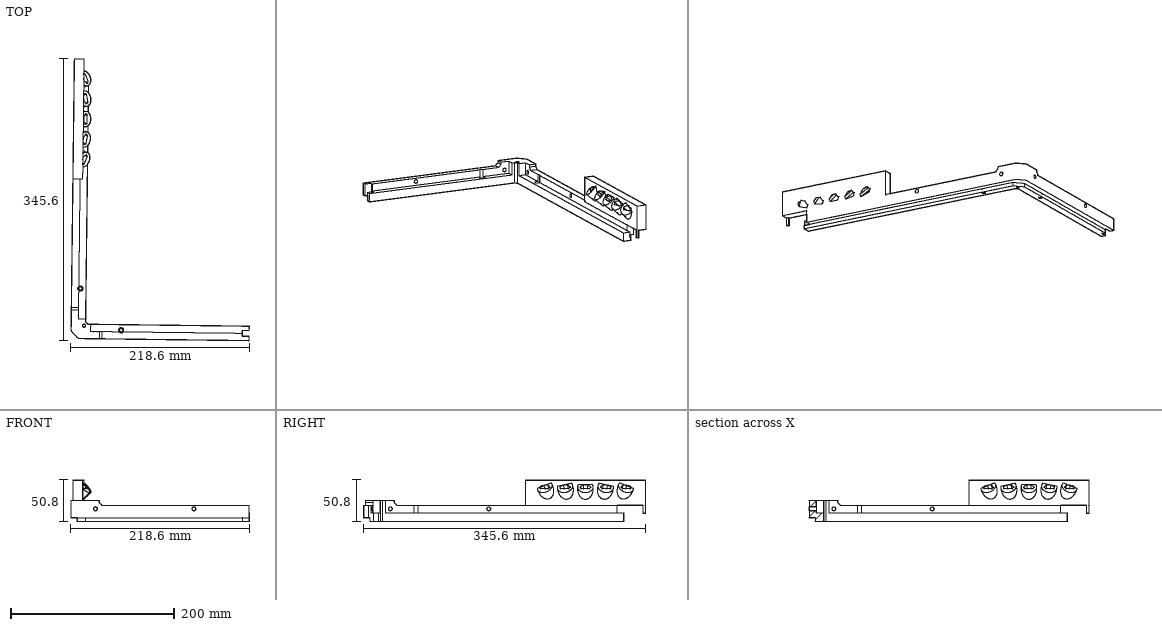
import cadquery as cq
import math

FRAME_TURN = -0.7
X_ARM_LENGTH = 218.5
Y_ARM_LENGTH = 316.5
FRAME_LENGTH = 343.0
TOTAL_HEIGHT = 50.8

ARM_WIDTH = 18.0
WALL_THICKNESS = ARM_WIDTH / 2
ARM_TOP = 19.7
LEDGE_TOP = 10.7
FOOT_HEIGHT = 4.5
FOOT_SETBACK = 7.5
FOOT_CHAMFER = 10.5
INNER_CHAMFER = 2.8

CORNER_TOP = 26.0
CORNER_LENGTH = 35.0
CORNER_CHAMFER = 9.5
CORNER_BLEND = 4.0
STEP_BEVEL = 3.5
LEDGE_START = 24.2

NOTCH_DEPTH = 8.3
NOTCH_WIDTH = 6.5

CROSS_HOLE_DIAMETER = 4.5
CROSS_HOLE_HEIGHT = 15.5
CROSS_HOLE_PLACES = (30.0, 150.7)
CORNER_HOLE_DIAMETER = 3.4
CORNER_HOLE_PLACE = 16.0
SCREW_HOLE_DIAMETER = 4.0
SCREW_HEAD_DIAMETER = 6.2
SCREW_ALONG = 61.5
SCREW_ACROSS = 11.0

PLATE_THICKNESS = 12.0
PLATE_LENGTH = 147.3
PLATE_START = FRAME_LENGTH - PLATE_LENGTH
TAB_LENGTH = 3.0
TAB_THICKNESS = 2.5
TAB_BOTTOM = 10.0

BOSS_COUNT = 5
BOSS_SPACING = 22.0
BOSS_DIAMETER = 19.0
BOSS_LENGTH = 20.0
BOSS_AXIS_HEIGHT = 29.0
BOSS_ELEVATION = 42.0
BOSS_FAN_STEP = 11.0
SOCKET_WIDTH = 13.0
SOCKET_ROOF_WIDTH = 5.2
SOCKET_ROOF_HEIGHT = 3.5
SOCKET_FLOOR_WIDTH = 10.5
SOCKET_FLOOR_DEPTH = 2.8


def block(x_range, y_range, z_range):
    (x0, x1), (y0, y1), (z0, z1) = x_range, y_range, z_range
    return cq.Workplane("XY").box(x1 - x0, y1 - y0, z1 - z0, centered=False).translate((x0, y0, z0))


def mirrored(shape):
    """Swap X and Y, carrying a feature of the X arm to the Y arm."""
    return shape.mirror("XZ").rotate((0, 0, 0), (0, 0, 1), 90)


def on_both_arms(shape):
    return shape.union(mirrored(shape))


def angle_outline(setback, x_end, y_end):
    return (
        cq.Workplane("XY")
        .moveTo(setback, setback)
        .lineTo(x_end, setback)
        .lineTo(x_end, ARM_WIDTH)
        .lineTo(ARM_WIDTH, ARM_WIDTH)
        .lineTo(ARM_WIDTH, y_end)
        .lineTo(setback, y_end)
        .close()
    )


def inner_corner_fill():
    near = ARM_WIDTH
    far = ARM_WIDTH + INNER_CHAMFER
    return cq.Workplane("XY").polyline([(near, near), (far, near), (near, far)]).close().extrude(CORNER_TOP)


def foot():
    body = angle_outline(FOOT_SETBACK, X_ARM_LENGTH, Y_ARM_LENGTH).extrude(FOOT_HEIGHT)
    return body.edges("|Z and <(1, 1, 0)").chamfer(FOOT_CHAMFER)


def upper_frame():
    body = (
        angle_outline(0, X_ARM_LENGTH, Y_ARM_LENGTH)
        .extrude(CORNER_TOP - FOOT_HEIGHT)
        .translate((0, 0, FOOT_HEIGHT))
        .edges("|Z and <(1, 1, 0)")
        .chamfer(CORNER_CHAMFER)
    )
    body = body.edges("|Z").edges("<(1, 1, 0)").fillet(CORNER_BLEND)

    end = FRAME_LENGTH
    wall_cut = (
        cq.Workplane("XZ")
        .moveTo(CORNER_LENGTH, CORNER_TOP)
        .lineTo(CORNER_LENGTH, ARM_TOP + STEP_BEVEL)
        .lineTo(CORNER_LENGTH + STEP_BEVEL, ARM_TOP)
        .lineTo(end, ARM_TOP)
        .lineTo(end, CORNER_TOP)
        .close()
        .extrude(-ARM_WIDTH)
    )
    ledge_cut = block((LEDGE_START, end), (WALL_THICKNESS, ARM_WIDTH), (LEDGE_TOP, CORNER_TOP))
    return body.cut(on_both_arms(wall_cut)).cut(on_both_arms(ledge_cut))


def end_cuts():
    x_notch = block(
        (X_ARM_LENGTH - NOTCH_DEPTH, X_ARM_LENGTH),
        (WALL_THICKNESS - NOTCH_WIDTH / 2, WALL_THICKNESS + NOTCH_WIDTH / 2),
        (0, ARM_TOP),
    )
    y_wall_end = block((0, WALL_THICKNESS), (Y_ARM_LENGTH - NOTCH_DEPTH, Y_ARM_LENGTH), (FOOT_HEIGHT, ARM_TOP))
    return x_notch.union(y_wall_end)


def plate():
    body = block((0, PLATE_THICKNESS), (PLATE_START, FRAME_LENGTH), (ARM_TOP, TOTAL_HEIGHT))
    tab = block(
        (PLATE_THICKNESS - TAB_THICKNESS, PLATE_THICKNESS),
        (FRAME_LENGTH - TAB_LENGTH, FRAME_LENGTH),
        (TAB_BOTTOM, ARM_TOP),
    )
    return body.union(tab)


def boss_plane(index):
    """Plane on the plate's outer face, normal along the axis of one boss."""
    step = index - (BOSS_COUNT - 1) / 2
    y = PLATE_START + PLATE_LENGTH / 2 + step * BOSS_SPACING
    fan = math.radians(step * BOSS_FAN_STEP)
    rise = math.radians(BOSS_ELEVATION)
    axis = (math.cos(fan) * math.cos(rise), math.sin(fan) * math.cos(rise), math.sin(rise))
    sideways = (-math.sin(fan), math.cos(fan), 0)
    return cq.Plane(origin=(0, y, BOSS_AXIS_HEIGHT), xDir=sideways, normal=axis)


def boss(index):
    rod = cq.Workplane(boss_plane(index)).circle(BOSS_DIAMETER / 2).extrude(BOSS_LENGTH)
    clear_side = block(
        (PLATE_THICKNESS / 2, FRAME_LENGTH), (PLATE_START, FRAME_LENGTH), (ARM_TOP, TOTAL_HEIGHT)
    )
    return rod.intersect(clear_side)


def socket(index):
    right_side = [
        (SOCKET_FLOOR_WIDTH / 2, -SOCKET_FLOOR_DEPTH),
        (SOCKET_WIDTH / 2, 0),
        (SOCKET_ROOF_WIDTH / 2, SOCKET_ROOF_HEIGHT),
    ]
    left_side = [(-x, y) for x, y in reversed(right_side)]
    outline = cq.Workplane(boss_plane(index)).polyline(right_side + left_side).close()
    return outline.extrude(BOSS_LENGTH, both=True)


def hole(x, y, diameter, z0, z1):
    return cq.Workplane("XY").center(x, y).circle(diameter / 2).extrude(z1 - z0).translate((0, 0, z0))


def holes():
    cross = (
        cq.Workplane("XZ")
        .pushPoints([(place, CROSS_HOLE_HEIGHT) for place in CROSS_HOLE_PLACES])
        .circle(CROSS_HOLE_DIAMETER / 2)
        .extrude(-ARM_WIDTH - INNER_CHAMFER)
    )
    screw = hole(SCREW_ALONG, SCREW_ACROSS, SCREW_HOLE_DIAMETER, 0, ARM_TOP)
    screw = screw.union(hole(SCREW_ALONG, SCREW_ACROSS, SCREW_HEAD_DIAMETER, FOOT_HEIGHT, ARM_TOP))
    corner = hole(CORNER_HOLE_PLACE, CORNER_HOLE_PLACE, CORNER_HOLE_DIAMETER, 0, CORNER_TOP)
    return on_both_arms(cross).union(on_both_arms(screw)).union(corner)


frame = foot().union(upper_frame()).union(inner_corner_fill())
frame = frame.cut(end_cuts()).cut(holes()).union(plate())
for i in range(BOSS_COUNT):
    frame = frame.union(boss(i))
for i in range(BOSS_COUNT):
    frame = frame.cut(socket(i))

result = frame.rotate((0, 0, 0), (0, 0, 1), FRAME_TURN)